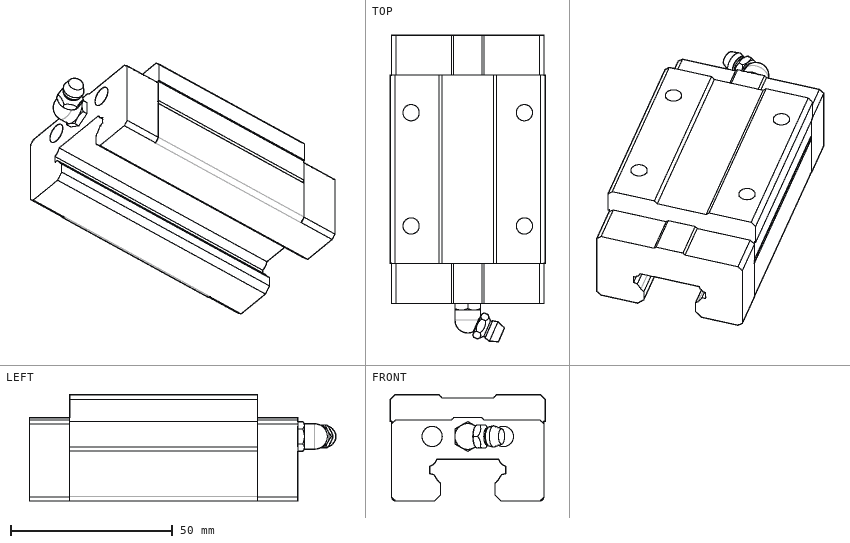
import cadquery as cq
import math

BLOCK_WIDTH = 48.0
BLOCK_LOWER_WIDTH = 47.1
BLOCK_HEIGHT = 33.0
BLOCK_LENGTH = 58.2
TOP_CHAMFER = 1.4
STEP_Z = 24.7
BOTTOM_FILLET = 1.4
RELIEF_FLOOR_WIDTH = 15.9
RELIEF_DEPTH = 0.95

SIDE_GROOVE_Z = 16.15
SIDE_GROOVE_WIDTH = 1.2
SIDE_GROOVE_DEPTH = 0.3

CAP_LENGTH = 12.4
CAP_WIDTH = 47.3
CAP_HEIGHT = 25.2
CAP_CHAMFER_X = 1.4
CAP_CHAMFER_Z = 1.2
RIB_WIDTH = 10.1
RIB_RISE = 0.7

PASSAGE_TOP_Z = 12.9
PASSAGE_TOP_HALF = 9.6
SHOULDER_BULGE = 0.4
RECESS_HALF = 11.7
RECESS_TOP_Z = 10.8
RECESS_BOTTOM_Z = 8.55
LEDGE_HALF = 10.45
LEDGE_Z = 8.3
SLOPE_BREAK_HALF = 9.3
SLOPE_BREAK_Z = 6.5
THROAT_HALF = 8.4
THROAT_TOP_Z = 5.5
THROAT_CHAMFER = 2.0

HOLE_DIAMETER = 5.0
HOLE_DEPTH = 9.0
HOLE_PITCH = 35.1
DRILL_POINT_ANGLE = 118.0

END_RECESS_DIAMETER = 6.3
END_RECESS_DEPTH = 0.1
END_RECESS_X = 11.0

NIPPLE_Z = 20.0
BASE_FLATS = 8.0
BASE_LENGTH = 2.0
BASE_BEVEL = 0.5
ELBOW_RADIUS = BASE_FLATS / 2
ELBOW_CENTRE_OUT = 5.1
ARM_ANGLE = 23.5
NUT_FLATS = 7.1
NUT_START = 3.2
NECK_RADIUS = 2.7
NECK_START = 6.6
NECK_END = 7.1
HEAD_ROOT_RADIUS = 2.9
HEAD_RADIUS = 3.3
HEAD_WIDEST = 8.7
TIP_RADIUS = 2.4
ARM_LENGTH = 11.4

FRONT_Y = -(BLOCK_LENGTH / 2 + CAP_LENGTH)


def mirrored_prism(right_half, start_y, length):
    """Extrude along +Y an outline given by its right half, from the top centre down."""
    left_half = [(-x, z) for x, z in reversed(right_half)]
    plane = cq.Workplane("XZ", origin=(0, start_y, 0))
    return plane.polyline(right_half + left_half).close().extrude(-length)


def make_block():
    half = BLOCK_WIDTH / 2
    lower_half = BLOCK_LOWER_WIDTH / 2
    floor_half = RELIEF_FLOOR_WIDTH / 2
    outline = [
        (floor_half, BLOCK_HEIGHT - RELIEF_DEPTH),
        (floor_half + RELIEF_DEPTH, BLOCK_HEIGHT),
        (half - TOP_CHAMFER, BLOCK_HEIGHT),
        (half, BLOCK_HEIGHT - TOP_CHAMFER),
        (half, STEP_Z),
        (lower_half, STEP_Z),
        (lower_half, 0),
    ]
    block = mirrored_prism(outline, -BLOCK_LENGTH / 2, BLOCK_LENGTH)
    block = block.edges("|Y and <Z").fillet(BOTTOM_FILLET)
    return block.cut(side_grooves())


def side_grooves():
    half_chord = SIDE_GROOVE_WIDTH / 2
    radius = (half_chord**2 + SIDE_GROOVE_DEPTH**2) / (2 * SIDE_GROOVE_DEPTH)
    centre_x = BLOCK_LOWER_WIDTH / 2 - SIDE_GROOVE_DEPTH + radius
    return (
        cq.Workplane("XZ", origin=(0, -BLOCK_LENGTH / 2, 0))
        .pushPoints([(side * centre_x, SIDE_GROOVE_Z) for side in (-1, 1)])
        .circle(radius)
        .extrude(-BLOCK_LENGTH)
    )


def make_end_cap(start_y):
    half = CAP_WIDTH / 2
    rib_half = RIB_WIDTH / 2
    outline = [
        (rib_half - RIB_RISE, CAP_HEIGHT + RIB_RISE),
        (rib_half, CAP_HEIGHT),
        (half - CAP_CHAMFER_X, CAP_HEIGHT),
        (half, CAP_HEIGHT - CAP_CHAMFER_Z),
        (half, CAP_CHAMFER_Z),
        (half - CAP_CHAMFER_X, 0),
    ]
    return mirrored_prism(outline, start_y, CAP_LENGTH)


def rail_passage():
    return (
        cq.Workplane("XZ", origin=(0, FRONT_Y, 0))
        .moveTo(0, PASSAGE_TOP_Z)
        .lineTo(PASSAGE_TOP_HALF, PASSAGE_TOP_Z)
        .sagittaArc((RECESS_HALF, RECESS_TOP_Z), -SHOULDER_BULGE)
        .lineTo(RECESS_HALF, RECESS_BOTTOM_Z)
        .lineTo(LEDGE_HALF, LEDGE_Z)
        .lineTo(SLOPE_BREAK_HALF, SLOPE_BREAK_Z)
        .lineTo(THROAT_HALF, THROAT_TOP_Z)
        .lineTo(THROAT_HALF, THROAT_CHAMFER)
        .lineTo(THROAT_HALF + THROAT_CHAMFER, 0)
        .lineTo(0, 0)
        .mirrorY()
        .extrude(-(BLOCK_LENGTH + 2 * CAP_LENGTH))
    )


def mounting_holes():
    radius = HOLE_DIAMETER / 2
    point_depth = radius / math.tan(math.radians(DRILL_POINT_ANGLE / 2))
    drill = (
        cq.Workplane("XZ")
        .polyline([(0, 0), (radius, 0), (radius, -HOLE_DEPTH), (0, -HOLE_DEPTH - point_depth)])
        .close()
        .revolve(360, (0, 0), (0, 1))
        .val()
    )
    return (
        cq.Workplane("XY", origin=(0, 0, BLOCK_HEIGHT))
        .rect(HOLE_PITCH, HOLE_PITCH, forConstruction=True)
        .vertices()
        .eachpoint(lambda place: drill.located(place))
    )


def end_recesses():
    return (
        cq.Workplane("XZ", origin=(0, FRONT_Y, 0))
        .pushPoints([(side * END_RECESS_X, NIPPLE_Z) for side in (-1, 1)])
        .circle(END_RECESS_DIAMETER / 2)
        .extrude(-END_RECESS_DEPTH)
    )


def make_carriage():
    carriage = make_block()
    for start_y in (FRONT_Y, BLOCK_LENGTH / 2):
        carriage = carriage.union(make_end_cap(start_y))
    return carriage.cut(rail_passage()).cut(mounting_holes()).cut(end_recesses())


def hexagon_prism(plane, flats, length):
    """A hexagonal prism standing on the plane, sized across its flats."""
    return cq.Workplane(plane).polygon(6, flats, circumscribed=True).extrude(length)


def turned(plane, profile):
    """Revolve (radius, distance along the axis) points about the normal of the plane."""
    side_plane = cq.Plane(plane.origin, plane.xDir, -plane.yDir)
    return cq.Workplane(side_plane).polyline(profile).close().revolve(360, (0, 0), (0, 1))


def make_base(front_plane):
    corner_radius = BASE_FLATS / math.sqrt(3)
    bevel = turned(front_plane, [
        (0, 0),
        (corner_radius, 0),
        (corner_radius, BASE_LENGTH - BASE_BEVEL),
        (ELBOW_RADIUS, BASE_LENGTH),
        (0, BASE_LENGTH),
    ])
    return hexagon_prism(front_plane, BASE_FLATS, BASE_LENGTH).intersect(bevel)


def make_elbow(front_plane):
    stem = cq.Workplane(front_plane).circle(ELBOW_RADIUS).extrude(ELBOW_CENTRE_OUT)
    ball = cq.Workplane(front_plane).workplane(offset=ELBOW_CENTRE_OUT).sphere(ELBOW_RADIUS)
    return stem.union(ball)


def make_nut(arm_plane):
    """The hexagon of the arm, bevelled at the ball side and coned down to the neck."""
    corner_radius = NUT_FLATS / math.sqrt(3)
    face_radius = NUT_FLATS / 2
    bevel = turned(arm_plane, [
        (0, NUT_START),
        (face_radius, NUT_START),
        (corner_radius, NUT_START + corner_radius - face_radius),
        (corner_radius, NECK_START - corner_radius + NECK_RADIUS),
        (NECK_RADIUS, NECK_START),
        (0, NECK_START),
    ])
    return hexagon_prism(arm_plane, NUT_FLATS, NECK_START).intersect(bevel)


def make_head(arm_plane):
    return turned(arm_plane, [
        (0, 0),
        (NECK_RADIUS, 0),
        (NECK_RADIUS, NECK_END),
        (HEAD_ROOT_RADIUS, NECK_END),
        (HEAD_RADIUS, HEAD_WIDEST),
        (TIP_RADIUS, ARM_LENGTH),
        (0, ARM_LENGTH),
    ])


def make_nipple():
    front_plane = cq.Plane((0, FRONT_Y, NIPPLE_Z), (1, 0, 0), (0, -1, 0))
    angle = math.radians(ARM_ANGLE)
    arm_direction = (math.cos(angle), -math.sin(angle), 0)
    arm_plane = cq.Plane((0, FRONT_Y - ELBOW_CENTRE_OUT, NIPPLE_Z), (0, 0, 1), arm_direction)
    nipple = make_base(front_plane).union(make_elbow(front_plane))
    return nipple.union(make_nut(arm_plane)).union(make_head(arm_plane))


carriage = make_carriage()
nipple = make_nipple()

result = cq.Compound.makeCompound([carriage.val(), nipple.val()])